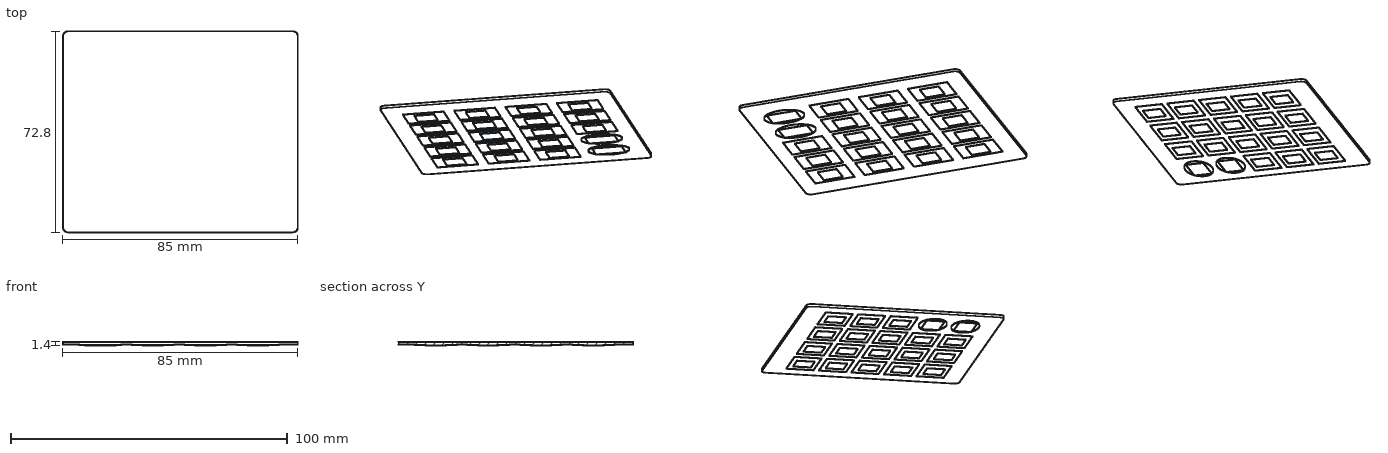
import cadquery as cq

plate_length = 85.0
plate_width = 72.8
plate_thickness = 1.0
corner_radius = 2.0

pad_length = 15.1
pad_width = 10.0
pad_height = 0.2

panel_height = 0.2
panel_width = 6.6
panel_length = 7.3
oval_key_panel_length = 11.0

column_count = 4
row_count = 5
column_pitch = 19.0
row_pitch = 12.0
grid_center_x = -0.45
grid_center_y = -0.55
oval_keys = [(0, 0), (0, 1)]


def make_plate():
    """Flat plate with rounded corners."""
    plate = cq.Workplane("XY").box(
        plate_length, plate_width, plate_thickness, centered=(True, True, False)
    )
    return plate.edges("|Z").fillet(corner_radius)


def key_center(column, row):
    """Position of a key in the grid."""
    x = grid_center_x + (column - (column_count - 1) / 2) * column_pitch
    y = grid_center_y + (row - (row_count - 1) / 2) * row_pitch
    return x, y


def make_key(is_oval):
    """Pad with its raised panel, centred on the origin and pointing down."""
    sketch = cq.Workplane("XY")
    if is_oval:
        outline = sketch.ellipse(pad_length / 2, pad_width / 2)
        length = oval_key_panel_length
    else:
        outline = sketch.rect(pad_length, pad_width)
        length = panel_length
    pad = outline.extrude(-pad_height)
    panel = (
        cq.Workplane("XY")
        .workplane(offset=-pad_height)
        .rect(length, panel_width)
        .extrude(-panel_height)
    )
    return pad.union(panel)


result = make_plate()
for column in range(column_count):
    for row in range(row_count):
        x, y = key_center(column, row)
        key = make_key((column, row) in oval_keys)
        result = result.union(key.translate((x, y, 0)))